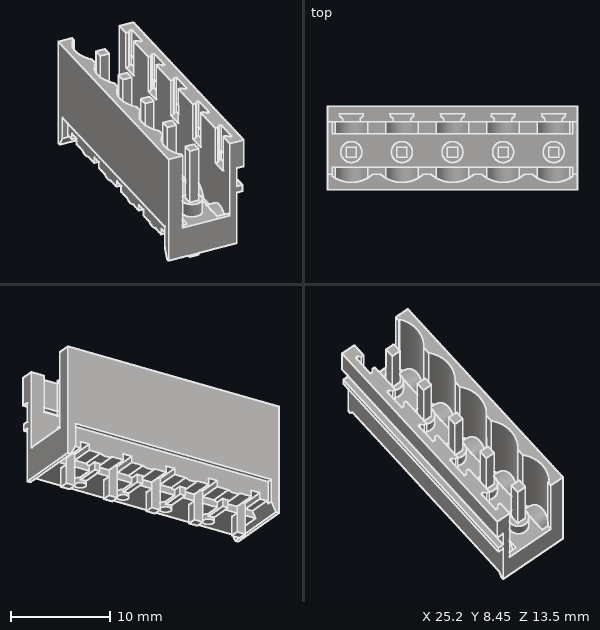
import cadquery as cq
import math


LENGTH = 25.2
DEPTH = 8.45
HEIGHT = 12.0

PIN_COUNT = 5
PITCH = 5.1
PIN_WIDTH = 1.0
PIN_ROW_Y = 3.8
PIN_TOP_Z = 11.0
PIN_TAIL = 1.5
COLLAR_RADIUS = 1.05
COLLAR_TOP_Z = 4.95

FRONT_WALL = 1.55
REAR_INNER_Y = 6.85
REAR_OUTER_Y = 7.65
FLOOR_TOP_Z = 3.48
OVERHANG_Z = 8.87

RAIL_BOTTOM_Z = 5.97
RAIL_TOP_Z = 6.73
RAIL_DEPTH = 0.63

SILL = 0.48
PLATEAU_FRONT_Y = 2.3
PLATEAU_REAR_Y = 5.67
TROUGH_DEPTH = 1.25

HUMP_RADIUS = 1.5
HUMP_FLANK_ANGLE = math.radians(57)
HUMP_HALF_WIDTH = 1.65

SCALLOP_RADIUS = 3.28
SCALLOP_WALL = 0.75

SLOT_MOUTH_HALF = 0.88
SLOT_BACK_HALF = 1.18
SLOT_BACK_STRAIGHT = 0.23
SLOT_TAPER = 0.28
SLOT_BOTTOM_Z = 7.91

RECESS_SIDE = 0.93
RECESS_TOP_Z = 3.53
RECESS_DEPTH = 0.6

FOOT_WIDTH = 0.38
FOOT_SLOPE = 0.53
FRONT_UNDERSIDE_Z = 1.34
REAR_UNDERSIDE_Z = 0.6
BULGE_RADIUS = 1.5
BULGE_DROP = 0.18
CHANNEL_TOP_Z = 2.02
STANDOFF_RADIUS = 0.6
RIB_WIDTH = 0.63
RIB_BOTTOM_Z = 0.3
RIB_LENGTH = 1.0

HALF_LENGTH = LENGTH / 2
TROUGH_BOTTOM_Z = FLOOR_TOP_Z - TROUGH_DEPTH
PIN_FRONT_Y = PIN_ROW_Y - PIN_WIDTH / 2
PIN_REAR_Y = PIN_ROW_Y + PIN_WIDTH / 2
PIN_XS = [(i - (PIN_COUNT - 1) / 2) * PITCH for i in range(PIN_COUNT)]
MID_XS = [x + PITCH / 2 for x in PIN_XS[:-1]]


def box(x0, x1, y0, y1, z0, z1):
    """A box between two opposite corners."""
    return cq.Workplane("XY").box(x1 - x0, y1 - y0, z1 - z0, centered=False).translate((x0, y0, z0))


def extrude_along_y(outline, y0, y1):
    """Extrude a closed XZ outline, drawn on the XZ plane, from y0 to y1."""
    return outline.extrude(y0 - y1).translate((0, y0, 0))


def channel_section():
    """Housing cross-section: two walls on a floor, with the overhang and rail at the rear."""
    rail_y = REAR_OUTER_Y + RAIL_DEPTH
    outline = cq.Workplane("YZ").polyline([
        (0, 0),
        (REAR_OUTER_Y, 0),
        (REAR_OUTER_Y, RAIL_BOTTOM_Z),
        (rail_y, RAIL_BOTTOM_Z),
        (rail_y, RAIL_TOP_Z),
        (REAR_OUTER_Y, RAIL_TOP_Z),
        (REAR_OUTER_Y, OVERHANG_Z),
        (DEPTH, OVERHANG_Z),
        (DEPTH, HEIGHT),
        (REAR_INNER_Y, HEIGHT),
        (REAR_INNER_Y, FLOOR_TOP_Z),
        (FRONT_WALL, FLOOR_TOP_Z),
        (FRONT_WALL, HEIGHT),
        (0, HEIGHT),
    ]).close()
    return outline.extrude(HALF_LENGTH, both=True)


def hump(x):
    """A ridge along Y that rises from the trough bottom to the floor level."""
    crown_half = HUMP_RADIUS * math.sin(HUMP_FLANK_ANGLE)
    crown_z = FLOOR_TOP_Z - HUMP_RADIUS * (1 - math.cos(HUMP_FLANK_ANGLE))
    outline = (
        cq.Workplane("XZ")
        .moveTo(x - HUMP_HALF_WIDTH, TROUGH_BOTTOM_Z)
        .lineTo(x - crown_half, crown_z)
        .threePointArc((x, FLOOR_TOP_Z), (x + crown_half, crown_z))
        .lineTo(x + HUMP_HALF_WIDTH, TROUGH_BOTTOM_Z)
        .close()
    )
    return extrude_along_y(outline, 0, REAR_INNER_Y)


def scallop(x):
    """A round hollow in the front wall, reaching from the trough bottom to the top."""
    cylinder = (
        cq.Workplane("XY", origin=(x, SCALLOP_WALL + SCALLOP_RADIUS, TROUGH_BOTTOM_Z))
        .circle(SCALLOP_RADIUS)
        .extrude(HEIGHT - TROUGH_BOTTOM_Z)
    )
    within_wall = box(
        -HALF_LENGTH + SILL, HALF_LENGTH - SILL, 0, FRONT_WALL, TROUGH_BOTTOM_Z, HEIGHT
    )
    return cylinder.intersect(within_wall)


def troughs():
    """The material removed in front of and behind the plateau, with the humps left standing."""
    end_x = HALF_LENGTH - SILL
    cut = box(-end_x, end_x, FRONT_WALL, PLATEAU_FRONT_Y, TROUGH_BOTTOM_Z, FLOOR_TOP_Z)
    cut = cut.union(box(-end_x, end_x, PLATEAU_REAR_Y, REAR_INNER_Y, TROUGH_BOTTOM_Z, FLOOR_TOP_Z))
    for x in PIN_XS:
        cut = cut.union(scallop(x)).cut(hump(x))
    return cut


def dovetail_slot(x):
    """A slot open at the top of the rear wall and wider at its back; it breaks out below the overhang."""
    straight_y = REAR_OUTER_Y - SLOT_BACK_STRAIGHT
    taper_y = straight_y - SLOT_TAPER
    outline = cq.Workplane("XY", origin=(x, 0, SLOT_BOTTOM_Z)).polyline([
        (-SLOT_BACK_HALF, REAR_OUTER_Y),
        (-SLOT_BACK_HALF, straight_y),
        (-SLOT_MOUTH_HALF, taper_y),
        (-SLOT_MOUTH_HALF, REAR_INNER_Y),
        (SLOT_MOUTH_HALF, REAR_INNER_Y),
        (SLOT_MOUTH_HALF, taper_y),
        (SLOT_BACK_HALF, straight_y),
        (SLOT_BACK_HALF, REAR_OUTER_Y),
    ]).close()
    return outline.extrude(HEIGHT - SLOT_BOTTOM_Z)


def underside_cut(y0, y1, top_z):
    """The gap between the two end feet, whose inner sides slope, from y0 to y1."""
    bottom_x = HALF_LENGTH - FOOT_WIDTH
    top_x = bottom_x - FOOT_SLOPE * top_z
    outline = cq.Workplane("XZ").polyline([
        (-bottom_x, 0),
        (-top_x, top_z),
        (top_x, top_z),
        (bottom_x, 0),
    ]).close()
    return extrude_along_y(outline, y0, y1)


def bulge(x):
    """A shallow round swelling under the front half, midway between two pins."""
    half_chord = math.sqrt(BULGE_RADIUS**2 - (BULGE_RADIUS - BULGE_DROP) ** 2)
    outline = (
        cq.Workplane("XZ")
        .moveTo(x - half_chord, FRONT_UNDERSIDE_Z)
        .threePointArc((x, FRONT_UNDERSIDE_Z - BULGE_DROP), (x + half_chord, FRONT_UNDERSIDE_Z))
        .close()
    )
    return extrude_along_y(outline, RECESS_DEPTH, PIN_FRONT_Y)


def front_recess():
    """The shallow recess in the lower part of the front face."""
    side_x = HALF_LENGTH - RECESS_SIDE
    return box(-side_x, side_x, 0, RECESS_DEPTH, 0, RECESS_TOP_Z)


def pin_channel(x):
    """A channel in the underside that leads from the front to the pin."""
    half = PIN_WIDTH / 2
    return box(x - half, x + half, 0, PIN_FRONT_Y, 0, CHANNEL_TOP_Z)


def standoff(x):
    """A round foot under the rear half, with a rib that runs forward from it."""
    foot_y = (PIN_FRONT_Y + REAR_OUTER_Y) / 2
    foot = (
        cq.Workplane("XY", origin=(x, foot_y, 0))
        .circle(STANDOFF_RADIUS)
        .extrude(FRONT_UNDERSIDE_Z)
    )
    half = RIB_WIDTH / 2
    rib = box(
        x - half, x + half, PIN_FRONT_Y - RIB_LENGTH, foot_y, RIB_BOTTOM_Z, FRONT_UNDERSIDE_Z
    )
    return foot.union(rib)


def collar(x):
    """A round collar on the plateau around the pin."""
    return (
        cq.Workplane("XY", origin=(x, PIN_ROW_Y, FLOOR_TOP_Z))
        .circle(COLLAR_RADIUS)
        .extrude(COLLAR_TOP_Z - FLOOR_TOP_Z)
    )


def make_pin(x):
    """A straight square pin."""
    half = PIN_WIDTH / 2
    return box(x - half, x + half, PIN_FRONT_Y, PIN_REAR_Y, -PIN_TAIL, PIN_TOP_Z)


def make_housing():
    """The housing, with a matching hole for each pin."""
    body = channel_section().cut(troughs())
    body = body.cut(underside_cut(0, PIN_FRONT_Y, FRONT_UNDERSIDE_Z))
    body = body.cut(underside_cut(PIN_FRONT_Y, REAR_OUTER_Y, REAR_UNDERSIDE_Z))
    for x in MID_XS:
        body = body.union(bulge(x)).union(standoff(x))
    body = body.cut(front_recess())
    for x in PIN_XS:
        body = body.union(collar(x))
        body = body.cut(dovetail_slot(x)).cut(pin_channel(x)).cut(make_pin(x))
    return body


housing = make_housing()
pins = [make_pin(x) for x in PIN_XS]

result = cq.Compound.makeCompound([housing.val(), *[pin.val() for pin in pins]])